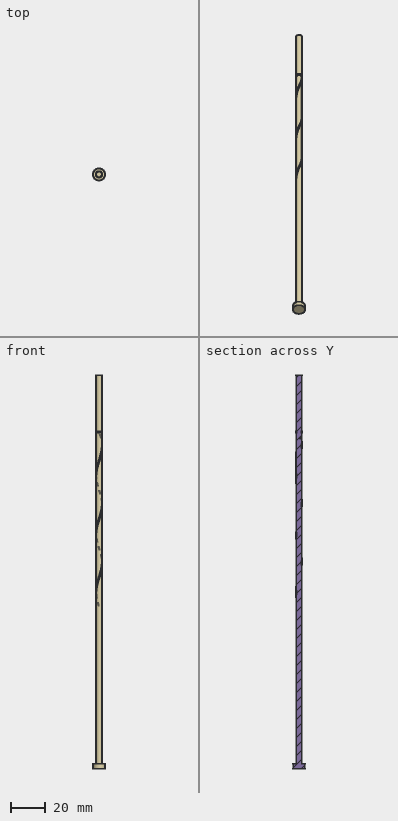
import cadquery as cq

head_diameter = 7.0
head_height = 3.0
stem_diameter = 3.7
total_length = 225.0

groove_depth = 0.3
ring_width = 1.0
ring_below_tip = 32.5

spiral_width = 2.0
spiral_turns = 3
spiral_length = 100.0
spiral_start_angle = 90.0

stem_radius = stem_diameter / 2
floor_radius = stem_radius - groove_depth
ring_height = total_length - ring_below_tip
spiral_bottom = ring_height - spiral_length
spiral_pitch = spiral_length / spiral_turns
cutter_overlap = 0.2


def headed_pin():
    head = cq.Workplane("XY").circle(head_diameter / 2).extrude(head_height)
    stem = cq.Workplane("XY").circle(stem_radius).extrude(total_length)
    return head.union(stem)


def ring_cutter():
    """Flat washer that cuts the ring groove."""
    return (
        cq.Workplane("XY", origin=(0, 0, ring_height - ring_width / 2))
        .circle(stem_radius + cutter_overlap)
        .circle(floor_radius)
        .extrude(ring_width)
    )


def spiral_cutter():
    """Rectangular bar swept along the spiral, reaching from the groove floor to outside the stem."""
    path = cq.Wire.makeHelix(spiral_pitch, spiral_length, stem_radius)
    bar_depth = groove_depth + cutter_overlap
    bar_centre = floor_radius + bar_depth / 2
    bar = cq.Workplane("XZ").center(bar_centre, 0).rect(bar_depth, spiral_width)
    spiral = bar.sweep(cq.Workplane(obj=path), isFrenet=True)
    return spiral.rotate((0, 0, 0), (0, 0, 1), spiral_start_angle).translate((0, 0, spiral_bottom))


result = headed_pin().cut(ring_cutter()).cut(spiral_cutter())